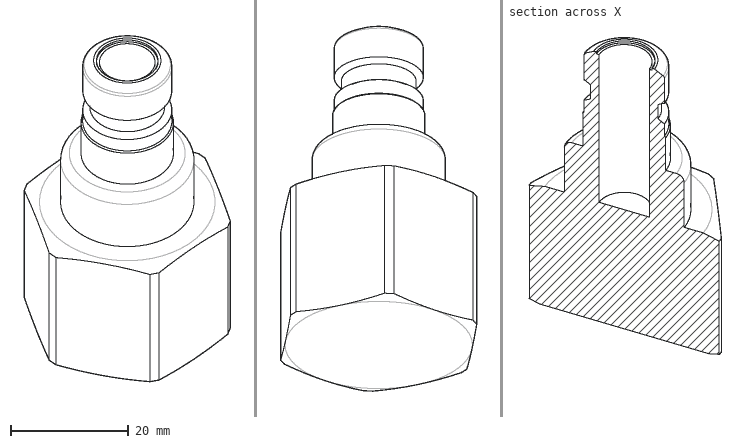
import cadquery as cq
import math

total_height = 58.5
hex_top_z = 26.0
shoulder_top_z = 37.2

hex_sides = 6
half_side_angle = 180 / hex_sides
hex_across_flats = 32.0
hex_across_corners = 36.0
hex_top_face_diameter = 30.0
hex_bottom_face_diameter = hex_across_flats
hex_chamfer_angle = 15.0

shoulder_diameter = 22.8
shoulder_fillet = 1.5

stem_diameter = 15.8
stem_top_z = 44.6
nose_diameter = 15.25
stem_edge_chamfer = (stem_diameter - nose_diameter) / 2
nose_tip_diameter = 11.5
nose_edge_fillet = 0.5

groove_diameter = 12.8
groove_bottom_z = 47.9
groove_top_z = 50.9
cone_angle = 30.0

bore_diameter = 9.5
bore_floor_z = hex_top_z
recess_diameter = 10.5
recess_depth = 0.4


def cone_height(large_diameter, small_diameter, angle):
    """Axial height of a cone whose side rises at the angle from horizontal."""
    return (large_diameter - small_diameter) / 2 * math.tan(math.radians(angle))


def revolve_profile(points):
    """Revolve a closed (radius, z) outline about the Z axis."""
    axis_start = (0, 0, 0)
    axis_end = (0, 1, 0)
    return cq.Workplane("XZ").polyline(points).close().revolve(360, axis_start, axis_end)


def hexagonal_prism(across_flats):
    """Hexagonal prism as tall as the body, with two corners on the X axis."""
    circumscribed_diameter = across_flats / math.cos(math.radians(half_side_angle))
    return cq.Workplane("XY").polygon(hex_sides, circumscribed_diameter).extrude(hex_top_z)


def make_hexagon():
    """Hexagonal prism with flat-cut corners and a shallow cone at each end."""
    corner_trim = hexagonal_prism(hex_across_corners)
    prism = hexagonal_prism(hex_across_flats).rotate((0, 0, 0), (0, 0, 1), half_side_angle)
    cone_end_diameter = hex_across_flats / math.cos(math.radians(half_side_angle))
    cone_end_radius = cone_end_diameter / 2
    bottom_chamfer = cone_height(cone_end_diameter, hex_bottom_face_diameter, hex_chamfer_angle)
    top_chamfer = cone_height(cone_end_diameter, hex_top_face_diameter, hex_chamfer_angle)
    end_trim = revolve_profile([
        (0, 0),
        (hex_bottom_face_diameter / 2, 0),
        (cone_end_radius, bottom_chamfer),
        (cone_end_radius, hex_top_z - top_chamfer),
        (hex_top_face_diameter / 2, hex_top_z),
        (0, hex_top_z),
    ])
    return prism.intersect(corner_trim).intersect(end_trim)


def make_shoulder():
    """Round shoulder with a filleted top edge."""
    return (
        cq.Workplane("XY")
        .circle(shoulder_diameter / 2)
        .extrude(shoulder_top_z)
        .faces(">Z")
        .edges()
        .fillet(shoulder_fillet)
    )


def make_stem():
    """Stepped stem with the locking groove and a conical nose."""
    groove_side = cone_height(nose_diameter, groove_diameter, cone_angle)
    nose_cone = cone_height(nose_diameter, nose_tip_diameter, cone_angle)
    stem_radius = stem_diameter / 2
    nose_radius = nose_diameter / 2
    groove_radius = groove_diameter / 2
    nose_edge_z = total_height - nose_cone
    stem = revolve_profile([
        (0, 0),
        (stem_radius, 0),
        (stem_radius, stem_top_z - stem_edge_chamfer),
        (nose_radius, stem_top_z),
        (nose_radius, groove_bottom_z - groove_side),
        (groove_radius, groove_bottom_z),
        (groove_radius, groove_top_z),
        (nose_radius, groove_top_z + groove_side),
        (nose_radius, nose_edge_z),
        (nose_tip_diameter / 2, total_height),
        (0, total_height),
    ])
    tolerance = 0.01
    nose_edge = cq.selectors.BoxSelector(
        (-stem_radius, -stem_radius, nose_edge_z - tolerance),
        (stem_radius, stem_radius, nose_edge_z + tolerance),
        boundingbox=True,
    )
    return stem.edges(nose_edge).fillet(nose_edge_fillet)


def make_bore():
    """Blind bore and the wider recess at its mouth."""
    bore = (
        cq.Workplane("XY")
        .workplane(offset=bore_floor_z)
        .circle(bore_diameter / 2)
        .extrude(total_height - bore_floor_z)
    )
    recess = (
        cq.Workplane("XY")
        .workplane(offset=total_height - recess_depth)
        .circle(recess_diameter / 2)
        .extrude(recess_depth)
    )
    return bore.union(recess)


result = make_hexagon().union(make_shoulder()).union(make_stem()).cut(make_bore())